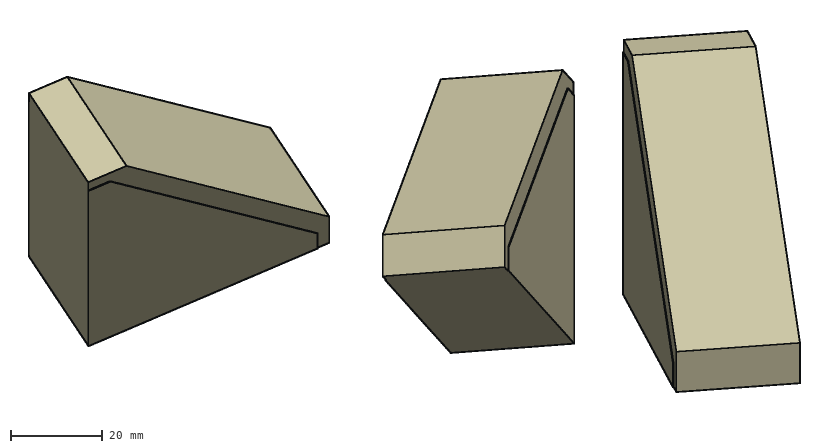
import cadquery as cq

side = 60.0
core_width = 28.0
side_step = 0.2
rim = 3.0
rim_land = 9.55
core_land = 5.45


def wedge(size, land, width):
    """Right-angled wedge with blunted tips, centred across X."""
    return (
        cq.Workplane("YZ")
        .polyline([(0, 0), (size, 0), (size, land), (land, size), (0, size)])
        .close()
        .extrude(width / 2, both=True)
    )


outer = wedge(side, rim_land, core_width - 2 * side_step)

core = wedge(side - rim, core_land, core_width)

result = outer.union(core)